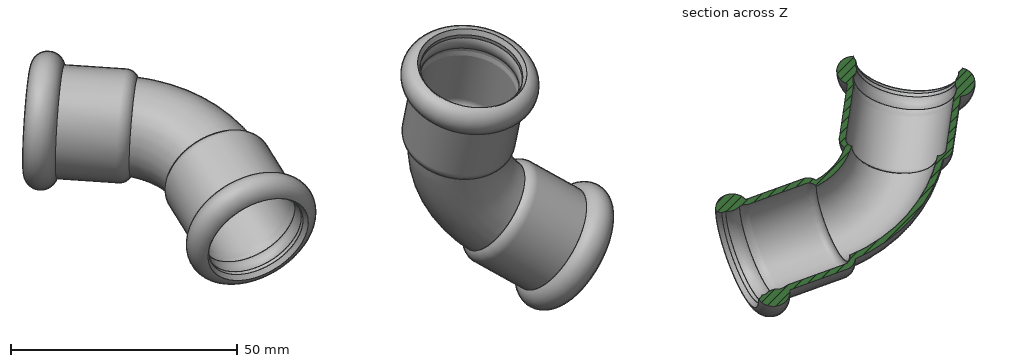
import cadquery as cq
import math


bend_angle = 60.0
tube_radius = 11.0
tube_bore_radius = 9.5

leg_length = 36.0
socket_length = 24.0
socket_radius = 25.3 / 2
socket_bore_radius = 22.3 / 2
outer_shoulder_radius = 3.0
inner_shoulder_radius = 2.0

bead_radius = 3.75
bead_crown_radius = 15.4
mouth_radius = 12.2

land_radius = 22.9 / 2
land_half_span = 2.57
seal_half_width = 1.65
seal_height = 0.45
lead_in_length = 1.1

socket_start = leg_length - socket_length
shoulder_end = socket_start + outer_shoulder_radius
bend_start = shoulder_end
bend_radius = bend_start / math.tan(math.radians(bend_angle / 2))

bead_ring_radius = bead_crown_radius - bead_radius


def bead_reach(radius):
    """Axial distance from the bead middle to the bead surface at the given radius."""
    return math.sqrt(bead_radius**2 - (radius - bead_ring_radius) ** 2)


bead_middle = leg_length - bead_reach(mouth_radius)


def rounded_closed_end(corner_radius, cylinder_radius):
    """Start a half profile: a flat disc, then a quarter arc up to the socket wall."""
    arc_rise = corner_radius * math.sqrt(0.5)
    disc_radius = cylinder_radius - corner_radius
    disc_position = shoulder_end - corner_radius
    return (
        cq.Workplane("XY")
        .moveTo(disc_position, 0)
        .lineTo(disc_position, disc_radius)
        .threePointArc(
            (shoulder_end - arc_rise, disc_radius + arc_rise),
            (shoulder_end, cylinder_radius),
        )
    )


def revolve_about_leg(profile):
    """Close a half profile along the +X leg axis and spin it about that axis."""
    return profile.close().revolve(360, (0, 0, 0), (1, 0, 0))


def socket_body():
    """Filled outer shape of the socket and its bead on the +X leg."""
    return revolve_about_leg(
        rounded_closed_end(outer_shoulder_radius, socket_radius)
        .lineTo(bead_middle - bead_reach(socket_radius), socket_radius)
        .threePointArc((bead_middle, bead_crown_radius), (leg_length, mouth_radius))
        .lineTo(leg_length, 0)
    )


def socket_cavity():
    """Room inside the socket on the +X leg, from its closed end to the mouth."""
    inner_land_end = bead_middle - land_half_span
    return revolve_about_leg(
        rounded_closed_end(inner_shoulder_radius, socket_bore_radius)
        .lineTo(inner_land_end - lead_in_length, socket_bore_radius)
        .lineTo(inner_land_end, land_radius)
        .lineTo(bead_middle - seal_half_width, land_radius)
        .threePointArc(
            (bead_middle, land_radius - seal_height),
            (bead_middle + seal_half_width, land_radius),
        )
        .lineTo(bead_middle + land_half_span, land_radius)
        .lineTo(leg_length, mouth_radius)
        .lineTo(leg_length, 0)
    )


def bent_bar(radius):
    """Solid round bar that follows the bend from one leg axis to the other."""
    return (
        cq.Workplane("YZ", origin=(bend_start, 0, 0))
        .circle(radius)
        .revolve(bend_angle, (-bend_radius, 0, 0), (-bend_radius, 1, 0))
    )


def on_both_legs(shape):
    """The shape on the +X leg and its copy on the other leg."""
    return shape, shape.rotate((0, 0, 0), (0, 0, 1), 180 + bend_angle)


result = bent_bar(tube_radius)
for body in on_both_legs(socket_body()):
    result = result.union(body)
result = result.cut(bent_bar(tube_bore_radius))
for cavity in on_both_legs(socket_cavity()):
    result = result.cut(cavity)